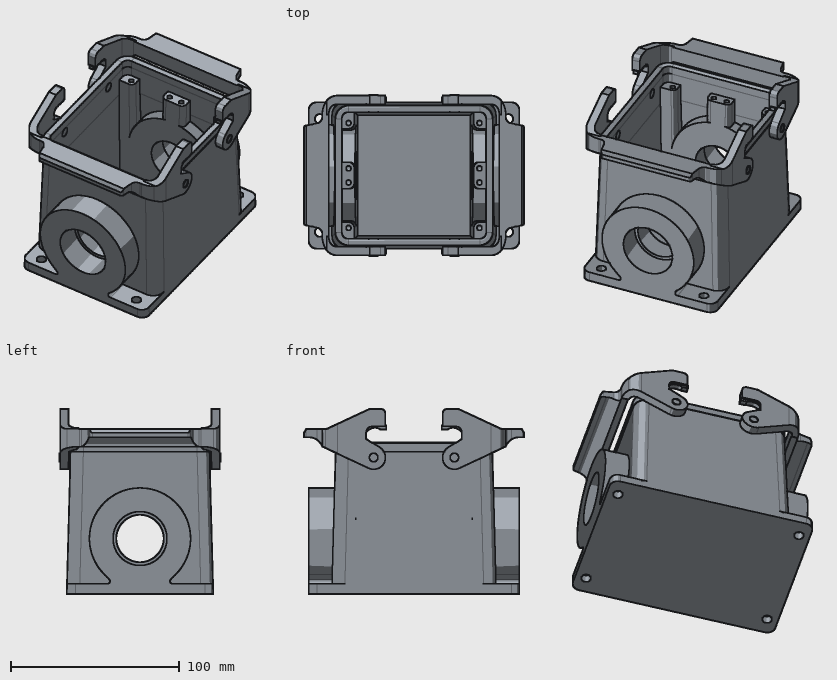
import cadquery as cq
import math

BASE_LENGTH = 125.0
BASE_WIDTH = 87.0
BASE_THICKNESS = 6.2
BASE_CORNER_RADIUS = 5.0

WALL_FOOT_LENGTH = 97.2
WALL_TOP_LENGTH = 93.0
WALL_TOP_WIDTH = 82.4
WALL_CORNER_RADIUS = 7.5
WALL_TOP_Z = 84.5
WALL_FOOT_WIDTH = BASE_WIDTH - (BASE_WIDTH - WALL_TOP_WIDTH) * BASE_THICKNESS / WALL_TOP_Z

RIM_LENGTH = 93.4
RIM_WIDTH = 83.0
RIM_CORNER_RADIUS = 7.8
RIM_WALL = 3.9
RIM_TOP_Z = 90.0
CROWN_HEIGHT = 0.4

CAVITY_LENGTH = RIM_LENGTH - 2 * RIM_WALL
CAVITY_WIDTH = RIM_WIDTH - 2 * RIM_WALL
CAVITY_CORNER_RADIUS = RIM_CORNER_RADIUS - RIM_WALL
CAVITY_DRAFT_Z = 67.3
CAVITY_DRAFT_INSET = 0.2
FLOOR_Z = BASE_THICKNESS
FLOOR_LENGTH = 66.8
FLOOR_WIDTH = 71.6
CORE_CORNER_RADIUS = 1.0

BOSS_RADIUS = 30.0
BOSS_Z = 33.0
NECK_FLANK_ANGLE = math.radians(45)
BOSS_NECK_RADIUS = 1.5
BORE_DIAMETER = 32.0
BORE_DEPTH = 16.0
PASSAGE_DIAMETER = 28.0

POST_TOP_Z = 78.2
POST_FRONT_X = 35.5
POST_CORNER_RADIUS = 3.0
CORNER_POST_INNER_Y = 27.8
CORNER_POST_DRAFT = 2.0
MIDDLE_POST_HALF_WIDTH = 7.8
SCREW_DIAMETER = 3.0
SCREW_DEPTH = 12.0
DRILL_TIP_ANGLE = math.radians(118)
SCREW_X = 38.8
SCREW_YS = (4.16, 31.1)

MOUNT_DIAMETER = 5.6
MOUNT_X = 55.9
MOUNT_Y = 33.5

PIVOT_X = 23.9
PIVOT_Z = 81.0
PIVOT_EYE_RADIUS = 7.0
PIN_HEAD_DIAMETER = 5.1
PIN_SHANK_DIAMETER = 5.6
PIN_END_Y = 95.67 / 2

ARM_OUTER_Y = 47.4
ARM_INNER_Y = 42.3
BAR_OUTER_X = 54.4
BAR_INNER_X = 50.4
LEVER_KNUCKLE_RADIUS = 8.0
LEVER_KNUCKLE_X = 45.5
LEVER_FLANK_HALF_WIDTH = 36.0
LEVER_INNER_RADIUS = 5.0
ARM_SLOPE = math.radians(25)

HOOK_TOP_Z = 109.9
HOOK_TIP_X = PIVOT_X - PIVOT_EYE_RADIUS
HOOK_UNDER_Z = 99.4
HOOK_CORNER_RADIUS = 3.0
HOOK_SEAT_RADIUS = 3.4
HOOK_THROAT_X = 28.3
THROAT_SLOPE = math.radians(32)
HOOK_RIB_WIDTH = 3.0
HOOK_RIB_DROP = 1.8
HOOK_RIB_OVERHANG = 0.6
HOOK_RIB_CREST_X = 24.0
HOOK_RIB_CREST_Z = 98.5

GRIP_END_X = 130.5 / 2
GRIP_TOP_Z = 98.0
GRIP_NOSE_Z = 95.6
GRIP_BOTTOM_Z = 92.9
GRIP_SLOPE_SETBACK = 2.7
GRIP_TOP_EDGE_X = 63.8
GRIP_UNDER_RADIUS = 8.3
GRIP_END_HALF_WIDTH = 29.4
GRIP_ROOT_HALF_WIDTH = 31.5
GRIP_ROOT_RADIUS = 4.0
GRIP_CORNER_RADIUS = 1.5


def rounded_prism(length, width, radius, bottom_z, top_z):
    """Upright block with rounded vertical edges, centred on the Z axis."""
    block = cq.Workplane("XY").workplane(offset=bottom_z).rect(length, width).extrude(top_z - bottom_z)
    return block.edges("|Z").fillet(radius)


def drafted_block(bottom_size, top_size, radius, bottom_z, top_z):
    """Block with four drafted faces and rounded corner edges, centred on the Z axis."""
    length, width = bottom_size
    top_length, top_width = top_size
    x_inset = (length - top_length) / 2
    y_inset = (width - top_width) / 2
    wedge = cq.Solid.makeWedge(
        length, top_z - bottom_z, width, x_inset, y_inset, length - x_inset, width - y_inset
    )
    block = cq.Workplane("XY").newObject([wedge]).rotate((0, 0, 0), (1, 0, 0), 90)
    block = block.translate((-length / 2, width / 2, bottom_z))
    return block.edges("not(#Z)").fillet(radius)


def rim():
    """Upright rim ring closed by a shallow domed bead."""
    crown_foot_z = RIM_TOP_Z - CROWN_HEIGHT
    ring = rounded_prism(RIM_LENGTH, RIM_WIDTH, RIM_CORNER_RADIUS, WALL_TOP_Z, crown_foot_z)
    half_wall = RIM_WALL / 2
    middle_length = RIM_LENGTH - RIM_WALL
    middle_width = RIM_WIDTH - RIM_WALL
    middle = rounded_prism(middle_length, middle_width, RIM_CORNER_RADIUS - half_wall, crown_foot_z, RIM_TOP_Z)
    path = middle.faces("<Z").wires()
    section = (
        cq.Workplane("YZ", origin=(0, -middle_width / 2, crown_foot_z))
        .moveTo(-half_wall, 0)
        .threePointArc((0, CROWN_HEIGHT), (half_wall, 0))
        .close()
    )
    return ring, section.sweep(path)


def cable_boss():
    """Round cable entry running the full length, on a neck that flares into the base."""
    boss = cq.Workplane("YZ").center(0, BOSS_Z).circle(BOSS_RADIUS).extrude(BASE_LENGTH / 2, both=True)

    flank_y = BOSS_RADIUS * math.sin(NECK_FLANK_ANGLE)
    flank_z = BOSS_Z - BOSS_RADIUS * math.cos(NECK_FLANK_ANGLE)
    foot_y = flank_y - (flank_z - BASE_THICKNESS) / math.tan(NECK_FLANK_ANGLE)
    half_wedge = NECK_FLANK_ANGLE / 2
    tangent_length = BOSS_NECK_RADIUS / math.tan(half_wedge)
    rise = tangent_length * math.sin(NECK_FLANK_ANGLE)
    run = tangent_length * math.cos(NECK_FLANK_ANGLE)
    toe_y = foot_y + tangent_length
    arc_y = toe_y - BOSS_NECK_RADIUS * math.cos(half_wedge)
    arc_z = BASE_THICKNESS + BOSS_NECK_RADIUS * (1 - math.sin(half_wedge))
    neck = (
        cq.Workplane("YZ")
        .moveTo(-flank_y, flank_z)
        .lineTo(-(foot_y + run), BASE_THICKNESS + rise)
        .threePointArc((-arc_y, arc_z), (-toe_y, BASE_THICKNESS))
        .lineTo(-toe_y, 0)
        .lineTo(toe_y, 0)
        .lineTo(toe_y, BASE_THICKNESS)
        .threePointArc((arc_y, arc_z), (foot_y + run, BASE_THICKNESS + rise))
        .lineTo(flank_y, flank_z)
        .close()
        .extrude(BASE_LENGTH / 2, both=True)
    )
    return boss.union(neck)


def cavity_core():
    """Drafted space between the two end walls, down to the floor."""
    core_top = (2 * POST_FRONT_X, CAVITY_WIDTH - 2 * CAVITY_DRAFT_INSET)
    core_floor = (FLOOR_LENGTH, FLOOR_WIDTH)
    return drafted_block(core_floor, core_top, CORE_CORNER_RADIUS, FLOOR_Z, POST_TOP_Z)


def post(centre_y, foot_width, top_width):
    """Drafted screw post, its rear half sunk into the +X end wall."""
    back_x = CAVITY_LENGTH / 2 + POST_CORNER_RADIUS
    foot_size = (2 * back_x - FLOOR_LENGTH, foot_width)
    top_size = (2 * (back_x - POST_FRONT_X), top_width)
    block = drafted_block(foot_size, top_size, POST_CORNER_RADIUS, FLOOR_Z, POST_TOP_Z)
    return block.translate((back_x, centre_y, 0))


def cavity():
    """Inner space of the housing, with the cable entries and screw posts left standing."""
    mouth = rounded_prism(CAVITY_LENGTH, CAVITY_WIDTH, CAVITY_CORNER_RADIUS, WALL_TOP_Z, RIM_TOP_Z)
    upper_size = (CAVITY_LENGTH, CAVITY_WIDTH)
    middle_size = (CAVITY_LENGTH - 2 * CAVITY_DRAFT_INSET, CAVITY_WIDTH - 2 * CAVITY_DRAFT_INSET)
    lower_size = (middle_size[0], FLOOR_WIDTH)
    middle = drafted_block(middle_size, upper_size, CAVITY_CORNER_RADIUS, CAVITY_DRAFT_Z, WALL_TOP_Z)
    lower = drafted_block(lower_size, middle_size, CAVITY_CORNER_RADIUS, FLOOR_Z, CAVITY_DRAFT_Z)
    space = mouth.union(middle).union(lower)

    entry = cq.Workplane("YZ").center(0, BOSS_Z).circle(BOSS_RADIUS).extrude(BASE_LENGTH / 2, both=True)
    below = cq.Workplane("XY").box(BASE_LENGTH, 2 * BOSS_RADIUS, BOSS_Z, centered=(True, True, False))
    entry = entry.union(below)
    space = space.cut(entry.cut(cavity_core()))

    wall_y = CAVITY_WIDTH / 2 + POST_CORNER_RADIUS
    corner_span = wall_y - CORNER_POST_INNER_Y
    corner_post = post(wall_y, 2 * (corner_span + CORNER_POST_DRAFT), 2 * corner_span)
    middle_post = post(0, 2 * MIDDLE_POST_HALF_WIDTH, 2 * MIDDLE_POST_HALF_WIDTH)
    for one_post in (middle_post, corner_post, corner_post.mirror("XZ")):
        space = space.cut(one_post).cut(one_post.mirror("YZ"))
    return space


def build_housing():
    base = drafted_block(
        (BASE_LENGTH, BASE_WIDTH), (BASE_LENGTH, WALL_FOOT_WIDTH), BASE_CORNER_RADIUS, 0, BASE_THICKNESS
    )
    walls = drafted_block(
        (WALL_FOOT_LENGTH, WALL_FOOT_WIDTH),
        (WALL_TOP_LENGTH, WALL_TOP_WIDTH),
        WALL_CORNER_RADIUS,
        BASE_THICKNESS,
        WALL_TOP_Z,
    )
    ring, crown = rim()
    body = base.union(walls).union(ring).union(cable_boss())
    body = body.cut(cavity()).union(crown)

    passage = cq.Workplane("YZ").center(0, BOSS_Z).circle(PASSAGE_DIAMETER / 2)
    body = body.cut(passage.extrude(BASE_LENGTH / 2, both=True))
    for side in (-1, 1):
        bore = cq.Workplane("YZ", origin=(side * BASE_LENGTH / 2, 0, BOSS_Z)).circle(BORE_DIAMETER / 2)
        body = body.cut(bore.extrude(-side * BORE_DEPTH))

    screw_places = [(sx * SCREW_X, sy * y) for sx in (-1, 1) for sy in (-1, 1) for y in SCREW_YS]
    screws = cq.Workplane("XY").workplane(offset=POST_TOP_Z).pushPoints(screw_places)
    body = body.cut(screws.circle(SCREW_DIAMETER / 2).extrude(-SCREW_DEPTH))
    tip_height = SCREW_DIAMETER / 2 / math.tan(DRILL_TIP_ANGLE / 2)
    for x, y in screw_places:
        tip_base = cq.Vector(x, y, POST_TOP_Z - SCREW_DEPTH)
        tip = cq.Solid.makeCone(SCREW_DIAMETER / 2, 0, tip_height, tip_base, cq.Vector(0, 0, -1))
        body = body.cut(cq.Workplane(tip))

    mounts = cq.Workplane("XY").rect(2 * MOUNT_X, 2 * MOUNT_Y, forConstruction=True).vertices()
    body = body.cut(mounts.circle(MOUNT_DIAMETER / 2).extrude(BASE_THICKNESS))

    pivots = cq.Workplane("XZ").center(0, PIVOT_Z).pushPoints([(-PIVOT_X, 0), (PIVOT_X, 0)])
    return body.cut(pivots.circle(PIN_SHANK_DIAMETER / 2).extrude(BASE_WIDTH, both=True))


def lever_plan():
    """Outline from above of the lever on the -X end: two arms, a cross bar and a grip."""
    knuckle_y = ARM_OUTER_Y - LEVER_KNUCKLE_RADIUS
    offset_x = BAR_OUTER_X - LEVER_KNUCKLE_X - LEVER_KNUCKLE_RADIUS
    offset_y = knuckle_y - LEVER_FLANK_HALF_WIDTH
    radius_gain = (offset_x**2 + offset_y**2) / (2 * offset_x)
    flank_radius = LEVER_KNUCKLE_RADIUS + radius_gain
    flank_x = BAR_OUTER_X - flank_radius
    joint_angle = math.asin(offset_y / radius_gain)

    def knuckle_point(angle):
        x = LEVER_KNUCKLE_X + LEVER_KNUCKLE_RADIUS * math.cos(angle)
        return x, knuckle_y + LEVER_KNUCKLE_RADIUS * math.sin(angle)

    joint_x, joint_y = knuckle_point(joint_angle)
    knuckle_mid_x, knuckle_mid_y = knuckle_point((joint_angle + math.pi / 2) / 2)
    flank_mid_x = flank_x + flank_radius * math.cos(joint_angle / 2)
    flank_mid_y = LEVER_FLANK_HALF_WIDTH + flank_radius * math.sin(joint_angle / 2)
    frame = (
        cq.Workplane("XY")
        .moveTo(-HOOK_TIP_X, -ARM_OUTER_Y)
        .lineTo(-LEVER_KNUCKLE_X, -ARM_OUTER_Y)
        .threePointArc((-knuckle_mid_x, -knuckle_mid_y), (-joint_x, -joint_y))
        .threePointArc((-flank_mid_x, -flank_mid_y), (-BAR_OUTER_X, -LEVER_FLANK_HALF_WIDTH))
        .lineTo(-BAR_OUTER_X, LEVER_FLANK_HALF_WIDTH)
        .threePointArc((-flank_mid_x, flank_mid_y), (-joint_x, joint_y))
        .threePointArc((-knuckle_mid_x, knuckle_mid_y), (-LEVER_KNUCKLE_X, ARM_OUTER_Y))
        .lineTo(-HOOK_TIP_X, ARM_OUTER_Y)
        .close()
        .extrude(HOOK_TOP_Z)
    )
    opening = (
        cq.Workplane("XY")
        .box(BAR_INNER_X, 2 * ARM_INNER_Y, HOOK_TOP_Z, centered=(False, True, False))
        .translate((-BAR_INNER_X, 0, 0))
        .edges("|Z and <X")
        .fillet(LEVER_INNER_RADIUS)
    )
    grip = (
        cq.Workplane("XY")
        .moveTo(-BAR_INNER_X, -GRIP_ROOT_HALF_WIDTH)
        .lineTo(-BAR_OUTER_X, -GRIP_ROOT_HALF_WIDTH)
        .lineTo(-GRIP_END_X, -GRIP_END_HALF_WIDTH)
        .lineTo(-GRIP_END_X, GRIP_END_HALF_WIDTH)
        .lineTo(-BAR_OUTER_X, GRIP_ROOT_HALF_WIDTH)
        .lineTo(-BAR_INNER_X, GRIP_ROOT_HALF_WIDTH)
        .close()
        .extrude(HOOK_TOP_Z)
        .edges("|Z and <X")
        .fillet(GRIP_CORNER_RADIUS)
    )
    plan = frame.cut(opening).union(grip)
    for side in (-1, 1):
        root_place = (-BAR_OUTER_X, side * GRIP_ROOT_HALF_WIDTH, HOOK_TOP_Z / 2)
        root = cq.selectors.NearestToPointSelector(root_place)
        plan = plan.edges("|Z").edges(root).fillet(GRIP_ROOT_RADIUS)
    return plan


def arm_underside():
    """Tangent point of the sloping underside on the pivot eye, and its height at the bar."""
    eye_x = -PIVOT_X - PIVOT_EYE_RADIUS * math.sin(ARM_SLOPE)
    eye_z = PIVOT_Z - PIVOT_EYE_RADIUS * math.cos(ARM_SLOPE)
    return (eye_x, eye_z), eye_z + (BAR_OUTER_X + eye_x) * math.tan(ARM_SLOPE)


def lever_profile():
    """Side outline of the same lever, from the grip to the hook and the pivot eye."""
    eye_bottom, bar_bottom_z = arm_underside()
    throat_x = math.cos(THROAT_SLOPE)
    throat_z = math.sin(THROAT_SLOPE)
    eye_top = (-PIVOT_X + PIVOT_EYE_RADIUS * throat_z, PIVOT_Z + PIVOT_EYE_RADIUS * throat_x)
    throat_bottom_z = eye_top[1] + (HOOK_THROAT_X + eye_top[0]) * math.tan(THROAT_SLOPE)
    slope_start_x = BAR_OUTER_X - GRIP_SLOPE_SETBACK
    slope_end_x = slope_start_x - (HOOK_TOP_Z - GRIP_TOP_Z) / math.tan(ARM_SLOPE)

    drop = GRIP_BOTTOM_Z - bar_bottom_z
    reach = math.sqrt(GRIP_UNDER_RADIUS**2 - (GRIP_UNDER_RADIUS - drop) ** 2)
    half_angle = math.asin(reach / GRIP_UNDER_RADIUS) / 2
    under_start_x = -BAR_OUTER_X - reach
    under_middle = (
        under_start_x + GRIP_UNDER_RADIUS * math.sin(half_angle),
        GRIP_BOTTOM_Z - GRIP_UNDER_RADIUS * (1 - math.cos(half_angle)),
    )
    arc_middle = 1 - math.sqrt(0.5)
    seat = HOOK_SEAT_RADIUS * arc_middle
    corner = HOOK_CORNER_RADIUS * arc_middle
    return (
        cq.Workplane("XZ")
        .moveTo(-GRIP_TOP_EDGE_X, GRIP_TOP_Z)
        .lineTo(-slope_start_x, GRIP_TOP_Z)
        .lineTo(-slope_end_x, HOOK_TOP_Z)
        .lineTo(-HOOK_TIP_X - HOOK_CORNER_RADIUS, HOOK_TOP_Z)
        .threePointArc(
            (-HOOK_TIP_X - corner, HOOK_TOP_Z - corner),
            (-HOOK_TIP_X, HOOK_TOP_Z - HOOK_CORNER_RADIUS),
        )
        .lineTo(-HOOK_TIP_X, HOOK_UNDER_Z)
        .lineTo(-HOOK_THROAT_X + HOOK_SEAT_RADIUS, HOOK_UNDER_Z)
        .threePointArc(
            (-HOOK_THROAT_X + seat, HOOK_UNDER_Z - seat),
            (-HOOK_THROAT_X, HOOK_UNDER_Z - HOOK_SEAT_RADIUS),
        )
        .lineTo(-HOOK_THROAT_X, throat_bottom_z)
        .lineTo(*eye_top)
        .threePointArc((-PIVOT_X + PIVOT_EYE_RADIUS, PIVOT_Z), (-PIVOT_X, PIVOT_Z - PIVOT_EYE_RADIUS))
        .threePointArc(
            (
                -PIVOT_X - PIVOT_EYE_RADIUS * math.sin(ARM_SLOPE / 2),
                PIVOT_Z - PIVOT_EYE_RADIUS * math.cos(ARM_SLOPE / 2),
            ),
            eye_bottom,
        )
        .lineTo(-BAR_OUTER_X, bar_bottom_z)
        .threePointArc(under_middle, (under_start_x, GRIP_BOTTOM_Z))
        .lineTo(-GRIP_END_X, GRIP_BOTTOM_Z)
        .lineTo(-GRIP_END_X, GRIP_NOSE_Z)
        .close()
        .extrude(ARM_OUTER_Y, both=True)
    )


def bar_envelope():
    """Space the lever may fill: a flat band at the cross bar, flaring open, and all of the arms."""
    bar_bottom_z = arm_underside()[1]
    half = LEVER_FLANK_HALF_WIDTH
    flare = ARM_OUTER_Y - half
    arms = (
        cq.Workplane("XY")
        .box(LEVER_KNUCKLE_X, 2 * ARM_OUTER_Y, HOOK_TOP_Z, centered=(False, True, False))
        .translate((-LEVER_KNUCKLE_X, 0, 0))
    )
    band = (
        cq.Workplane("YZ")
        .moveTo(-half, GRIP_TOP_Z)
        .lineTo(half, GRIP_TOP_Z)
        .lineTo(half + flare, GRIP_TOP_Z + flare)
        .lineTo(half + flare, bar_bottom_z - flare)
        .lineTo(half, bar_bottom_z)
        .lineTo(-half, bar_bottom_z)
        .lineTo(-half - flare, bar_bottom_z - flare)
        .lineTo(-half - flare, GRIP_TOP_Z + flare)
        .close()
        .extrude(-GRIP_END_X)
    )
    return band.union(arms)


def hook_rib(arm_y):
    """Narrow rib under the hook, standing a little proud of its tip."""
    rib_z = HOOK_UNDER_Z - HOOK_RIB_DROP
    rib_end_x = -HOOK_TIP_X + HOOK_RIB_OVERHANG
    return (
        cq.Workplane("XZ", origin=(0, arm_y, 0))
        .moveTo(rib_end_x, HOOK_UNDER_Z + HOOK_RIB_OVERHANG)
        .lineTo(rib_end_x, rib_z)
        .lineTo(-HOOK_TIP_X - HOOK_CORNER_RADIUS, rib_z)
        .threePointArc((-HOOK_RIB_CREST_X, HOOK_RIB_CREST_Z), (-HOOK_THROAT_X, rib_z - HOOK_RIB_DROP))
        .lineTo(-HOOK_THROAT_X - HOOK_RIB_OVERHANG, HOOK_UNDER_Z + HOOK_RIB_OVERHANG)
        .close()
        .extrude(HOOK_RIB_WIDTH / 2, both=True)
    )


def build_lever():
    """Lever on the -X end, with its two pivot pins."""
    lever = lever_plan().intersect(lever_profile()).intersect(bar_envelope())
    for side in (-1, 1):
        lever = lever.union(hook_rib(side * (ARM_OUTER_Y + ARM_INNER_Y) / 2))
        pin = cq.Workplane("XZ", origin=(-PIVOT_X, 0, PIVOT_Z))
        shank = pin.workplane(offset=-side * CAVITY_WIDTH / 2).circle(PIN_SHANK_DIAMETER / 2)
        shank = shank.extrude(-side * (ARM_INNER_Y - CAVITY_WIDTH / 2))
        head = pin.workplane(offset=-side * ARM_INNER_Y).circle(PIN_HEAD_DIAMETER / 2)
        head = head.extrude(-side * (PIN_END_Y - ARM_INNER_Y))
        lever = lever.union(shank).union(head)
    return lever


housing = build_housing()
left_lever = build_lever()
right_lever = left_lever.mirror("YZ")

result = cq.Compound.makeCompound(
    [
        housing.solids().val(),
        left_lever.solids().val(),
        right_lever.solids().val(),
    ]
)